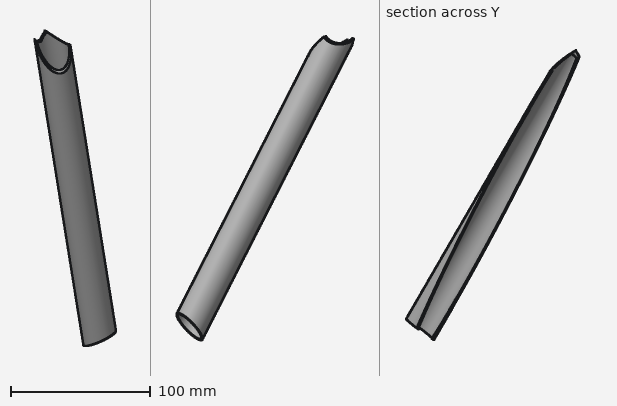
import cadquery as cq

outer_radius = 12.45
wall = 1.3

upper_node = cq.Vector(-54.0, 9.7, 108.2)
lower_node = cq.Vector(58.0, -9.0, -101.1)

front_tip = cq.Vector(-58.2, -2.0, 109.7)
left_tip = cq.Vector(-67.2, 10.0, 103.8)
back_tip = cq.Vector(-45.6, 21.4, 103.4)

right_valley = cq.Vector(-34.4, 8.0, 95.9)
back_valley = cq.Vector(-54.0, 20.0, 98.0)

scallop_arc_middle = (0.5, 104.2)
scallop_bottom = (4.5, 100.5)

lower_mitre_normal = cq.Vector(0.96, 0.16, -1.0)

trim_allowance = 4 * outer_radius

axis = (upper_node - lower_node).normalized()


def untrimmed_tube():
    """Straight tube along the axis, overlong at both ends."""
    start = lower_node - axis * trim_allowance
    length = (upper_node - lower_node).Length + 2 * trim_allowance
    section = cq.Workplane(cq.Plane(origin=start, normal=axis))
    return section.circle(outer_radius).circle(outer_radius - wall).extrude(length)


def trim(tube, node, normal):
    """Remove everything beyond the mitre plane through a node."""
    size = 4 * trim_allowance
    mitre = cq.Workplane(cq.Plane(origin=node, normal=normal))
    return tube.cut(mitre.rect(size, size).extrude(size))


def mitre_normal(first, second, third):
    """Normal, pointing up the tube, of the plane through three points."""
    normal = (second - first).cross(third - first)
    return normal if normal.dot(axis) > 0 else normal * -1


def scallop():
    """Cutter along X for the sharp-bottomed notch in the left wall of the upper end."""
    front_corner = (front_tip.y, front_tip.z)
    left_corner = (left_tip.y, left_tip.z)
    top = upper_node.z + outer_radius
    profile = (
        cq.Workplane("YZ", origin=(upper_node.x, 0, 0))
        .moveTo(*front_corner)
        .threePointArc(scallop_arc_middle, scallop_bottom)
        .lineTo(*left_corner)
        .lineTo(left_tip.y, top)
        .lineTo(front_tip.y, top)
        .close()
    )
    return profile.extrude(-trim_allowance)


result = trim(untrimmed_tube(), lower_node, lower_mitre_normal)
for valley, tip in [(right_valley, front_tip), (back_valley, left_tip)]:
    result = trim(result, back_tip, mitre_normal(back_tip, valley, tip))
result = result.cut(scallop())